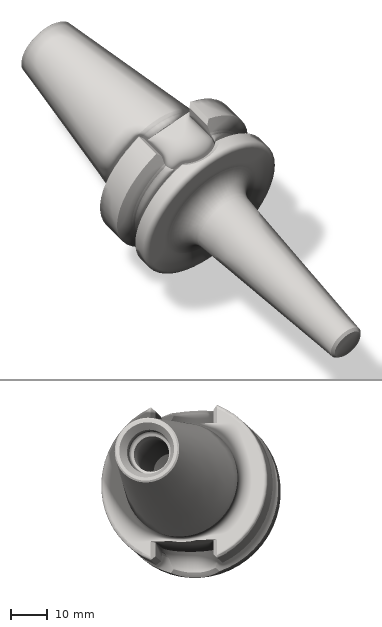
import cadquery as cq
import math

length = 128.4

taper_ratio = 7 / 24
gauge_radius = 15.9
gauge_x = 48.4
taper_end_x = 46.5
tail_chamfer = 0.4

relief_start_x = 47.6
relief_radius = 15.3
relief_fillet = 1.2

flange_radius = 23.0
flange_back_x = 50.3
flange_front_x = 70.5
flange_back_fillet = 0.9
flange_front_fillet = 1.3
v_groove_start_x = 58.2
v_groove_end_x = 65.9
v_wall_width = 2.0
v_wall_depth = v_wall_width * math.tan(math.radians(60))
groove_floor_radius = 18.9
groove_floor_inset = 0.5

nose_root_radius = 9.5
nose_tip_radius = 5.3
nose_root_fillet = 6.0
tip_chamfer = 0.8

slot_floor = 16.0
slot_width = 16.0
slot_end_x = 67.7
slot_edge_chamfer = 1.2

mouth_radius = 7.6
pilot_radius = 6.0
bore_radius = 4.9
mouth_depth = 2.8
pilot_depth = 5.8
pilot_step_depth = 0.8
bore_depth = 33.4
drill_point_angle = 118


def taper_radius(x):
    """Radius of the drive taper at x."""
    return gauge_radius + (x - gauge_x) * taper_ratio / 2


def make_body():
    """Revolve the outer profile and round the flange-to-nose corner."""
    wall_left_x = v_groove_start_x + v_wall_width
    wall_right_x = v_groove_end_x - v_wall_width
    wall_bottom_radius = flange_radius - v_wall_depth
    profile = (
        cq.Workplane("XY")
        .lineTo(0, taper_radius(0) - tail_chamfer)
        .lineTo(tail_chamfer, taper_radius(tail_chamfer))
        .lineTo(taper_end_x, taper_radius(taper_end_x))
        .lineTo(relief_start_x, relief_radius)
        .lineTo(flange_back_x - relief_fillet, relief_radius)
        .radiusArc((flange_back_x, relief_radius + relief_fillet), -relief_fillet)
        .lineTo(flange_back_x, flange_radius - flange_back_fillet)
        .radiusArc((flange_back_x + flange_back_fillet, flange_radius), flange_back_fillet)
        .lineTo(v_groove_start_x, flange_radius)
        .lineTo(wall_left_x, wall_bottom_radius)
        .lineTo(wall_left_x + groove_floor_inset, groove_floor_radius)
        .lineTo(wall_right_x - groove_floor_inset, groove_floor_radius)
        .lineTo(wall_right_x, wall_bottom_radius)
        .lineTo(v_groove_end_x, flange_radius)
        .lineTo(flange_front_x - flange_front_fillet, flange_radius)
        .radiusArc((flange_front_x, flange_radius - flange_front_fillet), flange_front_fillet)
        .lineTo(flange_front_x, nose_root_radius)
        .lineTo(length - tip_chamfer, nose_tip_radius)
        .lineTo(length, nose_tip_radius - tip_chamfer)
        .lineTo(length, 0)
        .close()
    )
    body = profile.revolve(360, (0, 0, 0), (1, 0, 0))
    selection_margin = 0.1
    reach = nose_root_radius + selection_margin
    nose_root = cq.selectors.BoxSelector(
        (flange_front_x - selection_margin, -reach, -reach),
        (flange_front_x + selection_margin, reach, reach),
        boundingbox=True,
    )
    return body.edges(nose_root).fillet(nose_root_fillet)


def make_slot():
    """Round-ended slot cutter above the flange, flared at its mouth and sides."""
    half_width = slot_width / 2
    flared_half_width = half_width + slot_edge_chamfer
    arc_center_x = slot_end_x - half_width
    mouth_end_x = flange_back_x + slot_edge_chamfer
    flare_top = math.sqrt(flange_radius**2 - flared_half_width**2)
    slot = (
        cq.Workplane("XY", origin=(0, 0, slot_floor))
        .moveTo(flange_back_x, -flared_half_width)
        .lineTo(mouth_end_x, -half_width)
        .lineTo(arc_center_x, -half_width)
        .threePointArc((slot_end_x, 0), (arc_center_x, half_width))
        .lineTo(mouth_end_x, half_width)
        .lineTo(flange_back_x, flared_half_width)
        .close()
        .extrude(flange_radius - slot_floor)
    )
    flare_bottom = flare_top - slot_edge_chamfer
    flare_height = flange_radius - flare_bottom
    straight_flare = (
        cq.Workplane("YZ", origin=(flange_back_x, 0, 0))
        .moveTo(-half_width, flare_bottom)
        .lineTo(half_width, flare_bottom)
        .lineTo(half_width + flare_height, flange_radius)
        .lineTo(-half_width - flare_height, flange_radius)
        .close()
        .extrude(arc_center_x - flange_back_x)
    )
    return slot.union(straight_flare)


def make_bore():
    """Tail bore with countersunk mouth, pilot and drill point."""
    point_depth = bore_radius / math.tan(math.radians(drill_point_angle / 2))
    return (
        cq.Workplane("XY")
        .lineTo(0, mouth_radius)
        .lineTo(mouth_depth, pilot_radius)
        .lineTo(pilot_depth, pilot_radius)
        .lineTo(pilot_depth + pilot_step_depth, bore_radius)
        .lineTo(bore_depth, bore_radius)
        .lineTo(bore_depth + point_depth, 0)
        .close()
        .revolve(360, (0, 0, 0), (1, 0, 0))
    )


def chamfer_slot_ends(body):
    """Chamfer the rim edge at the round end of both slots."""
    for side in (1, -1):
        slot_end = cq.selectors.NearestToPointSelector((slot_end_x, 0, side * flange_radius))
        body = body.edges(slot_end).chamfer(slot_edge_chamfer)
    return body


top_slot = make_slot()
bottom_slot = top_slot.mirror("XY")
slotted_body = make_body().cut(top_slot).cut(bottom_slot)
result = chamfer_slot_ends(slotted_body).cut(make_bore())